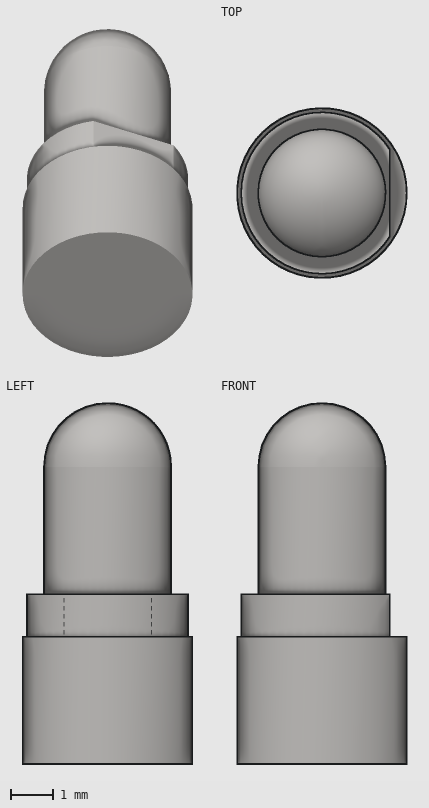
import cadquery as cq
import math

spacer_diameter = 4.0
spacer_height = 3.0

flange_diameter = 3.8
flange_height = 1.0
flat_distance = 1.6
lens_diameter = 3.0
lens_straight_height = 3.0

flange_radius = flange_diameter / 2
lens_radius = lens_diameter / 2
flange_top = spacer_height + flange_height
dome_base = flange_top + lens_straight_height
dome_top = dome_base + lens_radius


def make_spacer():
    return cq.Workplane("XY").circle(spacer_diameter / 2).extrude(spacer_height)


def make_flange():
    flat_half_length = math.sqrt(flange_radius**2 - flat_distance**2)
    return (
        cq.Workplane("XY", origin=(0, 0, spacer_height))
        .moveTo(flat_distance, -flat_half_length)
        .lineTo(flat_distance, flat_half_length)
        .threePointArc((-flange_radius, 0), (flat_distance, -flat_half_length))
        .close()
        .extrude(flange_height)
    )


def make_lens():
    """Straight round lens with a dome, revolved about Z from a half profile on the -Y side."""
    dome_offset = lens_radius * math.sqrt(0.5)
    return (
        cq.Workplane("YZ")
        .moveTo(0, flange_top)
        .lineTo(-lens_radius, flange_top)
        .lineTo(-lens_radius, dome_base)
        .threePointArc((-dome_offset, dome_base + dome_offset), (0, dome_top))
        .close()
        .revolve(360, (0, 0, 0), (0, 1, 0))
    )


def make_led():
    return make_flange().union(make_lens())


spacer = make_spacer()
led = make_led()

result = cq.Compound.makeCompound([spacer.val(), *led.solids().vals()])